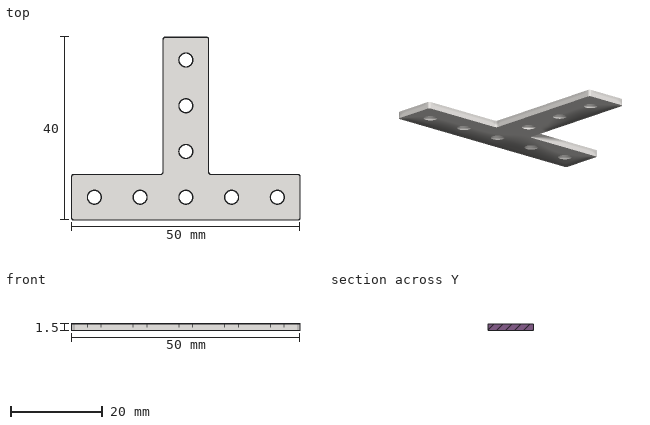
import cadquery as cq

pitch = 10.0
bar_holes = 5
stem_holes = 3
thickness = 1.5
hole_diameter = 3.0
corner_radius = 0.5

bar_length = bar_holes * pitch
stem_length = stem_holes * pitch

bar = cq.Workplane("XY").box(bar_length, pitch, thickness)
stem = (
    cq.Workplane("XY")
    .box(pitch, stem_length, thickness)
    .translate((0, (pitch + stem_length) / 2, 0))
)

plate = bar.union(stem).edges("|Z").fillet(corner_radius)

bar_points = [((i - (bar_holes - 1) / 2) * pitch, 0) for i in range(bar_holes)]
stem_points = [(0, (i + 1) * pitch) for i in range(stem_holes)]
result = (
    plate.faces(">Z")
    .workplane(origin=(0, 0, 0))
    .pushPoints(bar_points + stem_points)
    .hole(hole_diameter)
)